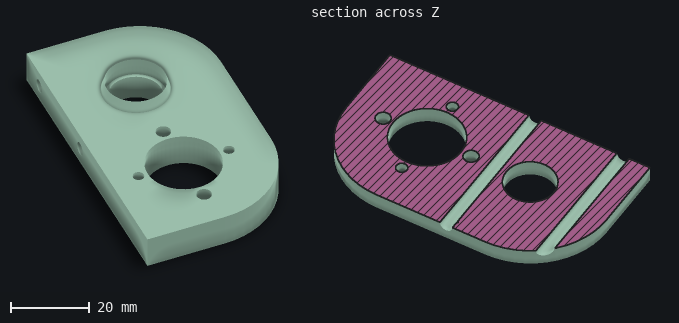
import cadquery as cq

plate_length = 77.0
plate_width = 44.0
plate_thickness = 9.0
corner_radius = 22.5

collar_x = 23.5
bore_line_y = 20.0
collar_height = 3.0
collar_base_diameter = 18.0
bearing_seat_diameter = 16.0
bearing_seat_depth = 5.0
collar_bore_diameter = 14.0

opening_x = 54.0
opening_diameter = 20.0
side_hole_diameter = 4.0
side_hole_offset = 13.0
end_hole_diameter = 3.0
end_hole_offset = 12.5

cross_hole_diameter = 3.6
cross_hole_positions = (8.0, 34.0)
cross_hole_z = plate_thickness / 2

top_z = plate_thickness + collar_height


def make_plate():
    """Flat plate with its two back corners rounded."""
    plate = cq.Workplane("XY").box(plate_length, plate_width, plate_thickness, centered=False)
    return plate.edges("|Z and >Y").fillet(corner_radius)


def make_collar():
    """Solid cone frustum standing on the plate."""
    return (
        cq.Workplane("XY", origin=(collar_x, bore_line_y, plate_thickness))
        .circle(collar_base_diameter / 2)
        .workplane(offset=collar_height)
        .circle(bearing_seat_diameter / 2)
        .loft(ruled=True)
    )


def vertical_hole(x, y, diameter, bottom_z=0.0):
    """Cutter from bottom_z up to the top of the part."""
    return cq.Workplane("XY", origin=(x, y, bottom_z)).circle(diameter / 2).extrude(top_z - bottom_z)


def cross_hole(x):
    """Cutter along Y through the full width of the plate."""
    return (
        cq.Workplane("XZ", origin=(x, 0, cross_hole_z))
        .circle(cross_hole_diameter / 2)
        .extrude(-plate_width)
    )


result = make_plate().union(make_collar())

seat_floor_z = top_z - bearing_seat_depth
result = result.cut(vertical_hole(collar_x, bore_line_y, collar_bore_diameter))
result = result.cut(vertical_hole(collar_x, bore_line_y, bearing_seat_diameter, seat_floor_z))

result = result.cut(vertical_hole(opening_x, bore_line_y, opening_diameter))
for side in (-1, 1):
    side_hole_x = opening_x + side * side_hole_offset
    end_hole_y = bore_line_y + side * end_hole_offset
    result = result.cut(vertical_hole(side_hole_x, bore_line_y, side_hole_diameter))
    result = result.cut(vertical_hole(opening_x, end_hole_y, end_hole_diameter))

for position in cross_hole_positions:
    result = result.cut(cross_hole(position))